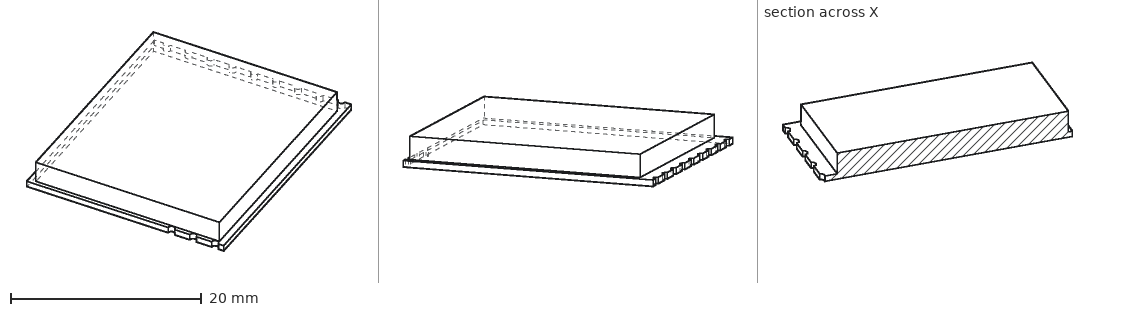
import cadquery as cq

board_width = 23.5
board_length = 28.0
board_thickness = 0.7

total_height = 3.2
can_margin_left = 0.85
can_margin_right = 0.75
can_margin_front = 0.45
can_margin_back = 1.75

notch_radius = 0.4
notch_pitch = 2.6
back_notch_count = 9
back_notch_margin = 1.18
front_notch_count = 3
front_notch_margin = 1.05


def make_board():
    return cq.Workplane("XY").box(board_width, board_length, board_thickness, centered=False)


def make_can():
    width = board_width - can_margin_left - can_margin_right
    length = board_length - can_margin_front - can_margin_back
    height = total_height - board_thickness
    can = cq.Workplane("XY").box(width, length, height, centered=False)
    return can.translate((can_margin_left, can_margin_front, board_thickness))


def make_notches(count, right_margin, edge_y):
    """Row of vertical cylinders centred on a board edge."""
    last_x = board_width - right_margin
    centers = [(last_x - i * notch_pitch, edge_y) for i in range(count)]
    return cq.Workplane("XY").pushPoints(centers).circle(notch_radius).extrude(board_thickness)


back_notches = make_notches(back_notch_count, back_notch_margin, board_length)
front_notches = make_notches(front_notch_count, front_notch_margin, 0)
notched_board = make_board().cut(back_notches).cut(front_notches)

result = notched_board.union(make_can())